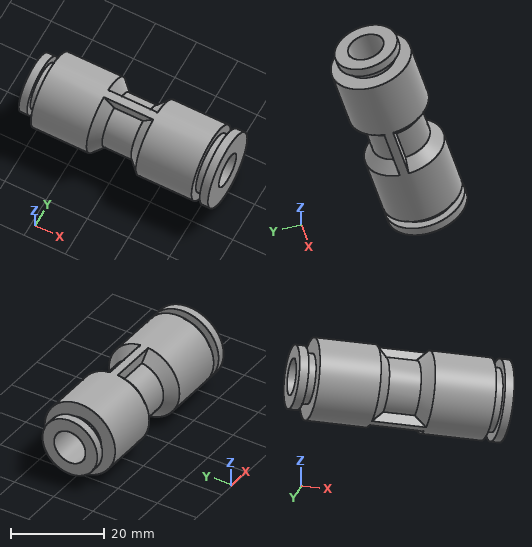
import cadquery as cq

total_length = 47.0
body_diameter = 18.0
bore_diameter = 8.0

flange_length = 2.0
neck_length = 1.97
small_flange_diameter = 14.0
small_neck_diameter = 11.0
large_flange_diameter = body_diameter
large_neck_diameter = 14.0

waist_length = 12.0
waist_diameter = 13.0
web_thickness = 2.0
waist_taper = (body_diameter - waist_diameter) / 2

body_length = total_length - 2 * (flange_length + neck_length)


def cylinder_x(start, length, diameter):
    """Solid cylinder along X, beginning at the given X position."""
    return cq.Workplane("YZ").workplane(offset=start).circle(diameter / 2).extrude(length)


def collar(side, flange_diameter, neck_diameter):
    """Neck and flange on one end of the body; side is -1 or +1 along X."""
    neck = cylinder_x(side * body_length / 2, side * neck_length, neck_diameter)
    flange = cylinder_x(side * total_length / 2, -side * flange_length, flange_diameter)
    return neck.union(flange)


def waisted_body():
    """Body revolved about X with a tapered waist at mid length."""
    body_end = body_length / 2
    waist_edge = waist_length / 2
    waist_floor = waist_edge - waist_taper
    body_radius = body_diameter / 2
    waist_radius = waist_diameter / 2
    return (
        cq.Workplane("XY")
        .moveTo(-body_end, 0)
        .lineTo(-body_end, body_radius)
        .lineTo(-waist_edge, body_radius)
        .lineTo(-waist_floor, waist_radius)
        .lineTo(waist_floor, waist_radius)
        .lineTo(waist_edge, body_radius)
        .lineTo(body_end, body_radius)
        .lineTo(body_end, 0)
        .close()
        .revolve(360, (0, 0, 0), (1, 0, 0))
    )


def waist_web():
    """Thin upright web across the waist, rounded to the body diameter."""
    slab = cq.Workplane("XY").box(waist_length, web_thickness, body_diameter)
    return slab.intersect(cylinder_x(-waist_length / 2, waist_length, body_diameter))


result = (
    waisted_body()
    .union(waist_web())
    .union(collar(-1, small_flange_diameter, small_neck_diameter))
    .union(collar(1, large_flange_diameter, large_neck_diameter))
    .cut(cylinder_x(-total_length / 2, total_length, bore_diameter))
)